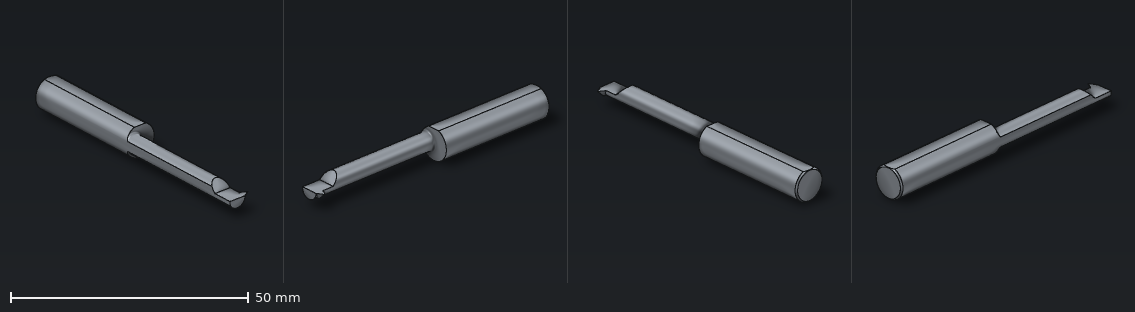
import cadquery as cq
import math

total_length = 63.5
shank_diameter = 7.95
shank_radius = shank_diameter / 2
shank_length = 29.65
shank_chamfer = 0.4
overall_height = 7.6
flat_height = overall_height - shank_radius

neck_radius = 2.2
neck_axis_y = -1.9
neck_edge_y = neck_axis_y + neck_radius
shoulder_fillet = 0.6

rake_face_length = 4.9
ramp_start = total_length - rake_face_length

tooth_tip_y = 1.9
tooth_tip_x = 62.4
tooth_half_angle = math.radians(30)
tooth_tip_flat = 0.1
tooth_depth = 1.6
tooth_root_overlap = 0.65
tooth_relief_angle = math.radians(45)


def make_shank():
    """Round shank with a chamfered rear end and one clamping flat on top."""
    shank = cq.Workplane("YZ").circle(shank_radius).extrude(shank_length)
    shank = shank.faces("<X").chamfer(shank_chamfer)
    flat_cutter = cq.Workplane("XY").workplane(offset=flat_height).rect(
        2 * shank_length, shank_diameter
    ).extrude(shank_radius)
    return shank.cut(flat_cutter)


def make_neck():
    """Eccentric neck, flared at the shoulder and trimmed to the shank's cylinder."""
    fillet_end = shank_length + shoulder_fillet
    flare_radius = neck_radius + shoulder_fillet
    arc_inset = shoulder_fillet * (1 - math.sqrt(0.5))
    profile = (
        cq.Workplane("XY", origin=(0, neck_axis_y, 0))
        .moveTo(shank_length, 0)
        .lineTo(shank_length, flare_radius)
        .threePointArc(
            (shank_length + arc_inset, neck_radius + arc_inset),
            (fillet_end, neck_radius),
        )
        .lineTo(total_length, neck_radius)
        .lineTo(total_length, 0)
        .close()
    )
    neck = profile.revolve(360, (0, 0, 0), (1, 0, 0))
    envelope = cq.Workplane("YZ").circle(shank_radius).extrude(total_length)
    return neck.intersect(envelope)


def make_head_cutter():
    """Material above the rake face and its ramp."""
    cut_height = shank_radius
    return (
        cq.Workplane("XZ")
        .moveTo(ramp_start, 0)
        .lineTo(total_length, 0)
        .lineTo(total_length, cut_height)
        .lineTo(ramp_start - cut_height, cut_height)
        .close()
        .extrude(shank_radius, both=True)
    )


def make_tooth():
    """Side tooth below the rake face, leaning back toward the neck for clearance."""
    half_tip = tooth_tip_flat / 2
    root_y = neck_edge_y - tooth_root_overlap
    half_base = half_tip + (tooth_tip_y - neck_edge_y) * math.tan(tooth_half_angle)
    outline = [
        (tooth_tip_x - half_base, root_y),
        (tooth_tip_x - half_base, neck_edge_y),
        (tooth_tip_x - half_tip, tooth_tip_y),
        (tooth_tip_x + half_tip, tooth_tip_y),
        (tooth_tip_x + half_base, neck_edge_y),
        (tooth_tip_x + half_base, root_y),
    ]
    outline_wire = cq.Workplane("XY").polyline(outline).close().val()
    relief_run = tooth_depth * math.tan(tooth_relief_angle)
    sweep = cq.Vector(0, -relief_run, -tooth_depth)
    return cq.Workplane(cq.Solid.extrudeLinear(outline_wire, [], sweep))


neck = make_neck().cut(make_head_cutter())
result = make_shank().union(neck).union(make_tooth())